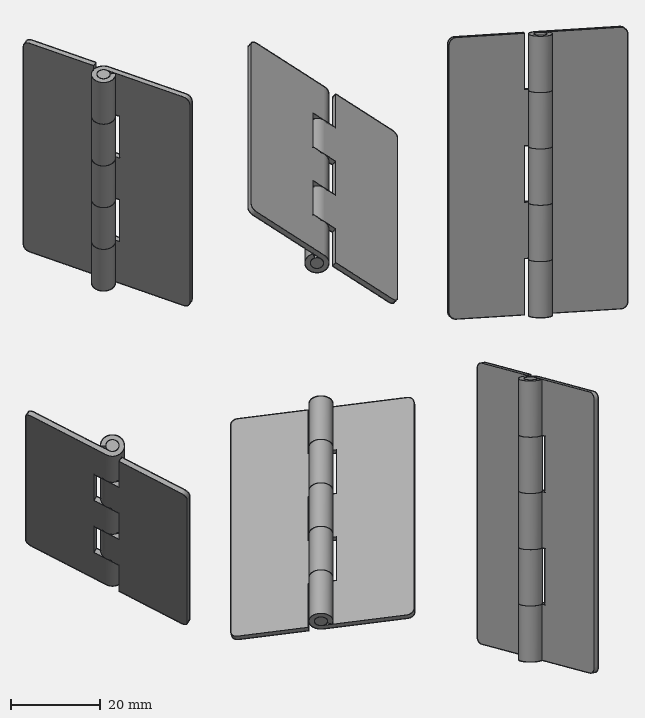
import cadquery as cq
import math

height = 64.0
width = 41.5
knuckle_radius = 2.7
plate_thickness = 1.2
knuckle_count = 5
notch_reach = 3.2
corner_radius = 1.6
curl_end_angle = 32.0

pin_radius = knuckle_radius - plate_thickness
knuckle_height = height / knuckle_count
half_width = width / 2


def polar(radius, angle):
    """Point at an angle in degrees around the pin axis."""
    return radius * math.cos(math.radians(angle)), radius * math.sin(math.radians(angle))


def make_plate():
    """Flat plate on the +X side, tangent to the outside of the knuckles."""
    return (
        cq.Workplane("XY")
        .box(half_width - notch_reach, plate_thickness, height, centered=False)
        .translate((notch_reach, pin_radius, 0))
        .edges("|Y and >X")
        .fillet(corner_radius)
    )


def make_knuckle(index):
    """Strip that leaves the plate and curls around the pin to its free end."""
    middle_angle = (90 + 360 + curl_end_angle) / 2
    return (
        cq.Workplane("XY", origin=(0, 0, index * knuckle_height))
        .moveTo(notch_reach, knuckle_radius)
        .lineTo(0, knuckle_radius)
        .threePointArc(polar(knuckle_radius, middle_angle), polar(knuckle_radius, curl_end_angle))
        .lineTo(*polar(pin_radius, curl_end_angle))
        .threePointArc(polar(pin_radius, middle_angle), (0, pin_radius))
        .lineTo(notch_reach, pin_radius)
        .close()
        .extrude(knuckle_height)
    )


def make_leaf(first_knuckle):
    """Plate on the +X side with every second knuckle, starting at the given one."""
    leaf = make_plate()
    for index in range(first_knuckle, knuckle_count, 2):
        leaf = leaf.union(make_knuckle(index))
    return leaf


def make_pin():
    """Plain pin that fills the knuckles, flush at both ends."""
    return cq.Workplane("XY").circle(pin_radius).extrude(height)


outer_knuckle_leaf = make_leaf(first_knuckle=0)
inner_knuckle_leaf = make_leaf(first_knuckle=1).mirror("YZ")
pin = make_pin()

result = cq.Compound.makeCompound([outer_knuckle_leaf.val(), inner_knuckle_leaf.val(), pin.val()])